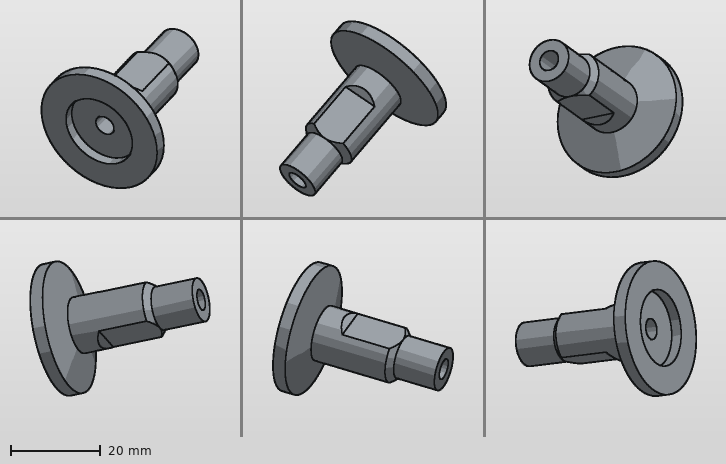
import cadquery as cq

total_length = 35.0
flange_rim_thickness = 3.0
cone_end = 5.35
shoulder_end = 25.0
recess_depth = 2.5
flat_start = 11.97

flange_radius = 30.0 / 2
body_radius = 12.8 / 2
tube_radius = 9.9 / 2
recess_radius = 17.2 / 2
bore_radius = 4.7 / 2

step_height = body_radius - tube_radius
shoulder_start = shoulder_end - step_height


def make_turned_body():
    """Flange, conical back, body and tube, revolved about the Y axis."""
    return (
        cq.Workplane("XY")
        .polyline([
            (0, 0),
            (flange_radius, 0),
            (flange_radius, flange_rim_thickness),
            (body_radius, cone_end),
            (body_radius, shoulder_start),
            (tube_radius, shoulder_end),
            (tube_radius, total_length),
            (0, total_length),
        ])
        .close()
        .revolve(360, (0, 0, 0), (0, 1, 0))
    )


def make_hole(radius, depth):
    """Round cutter running from the flange face along +Y."""
    return cq.Workplane("XZ").circle(radius).extrude(-depth)


def make_flat_cutter():
    """Cutter for the upper wrench flat, with a 45 degree run-out towards the flange."""
    return (
        cq.Workplane("YZ")
        .polyline([
            (flat_start, tube_radius),
            (shoulder_end, tube_radius),
            (shoulder_end, body_radius),
            (flat_start - step_height, body_radius),
        ])
        .close()
        .extrude(body_radius, both=True)
    )


upper_flat = make_flat_cutter()
lower_flat = upper_flat.mirror("XY")

result = (
    make_turned_body()
    .cut(make_hole(recess_radius, recess_depth))
    .cut(make_hole(bore_radius, total_length))
    .cut(upper_flat)
    .cut(lower_flat)
)